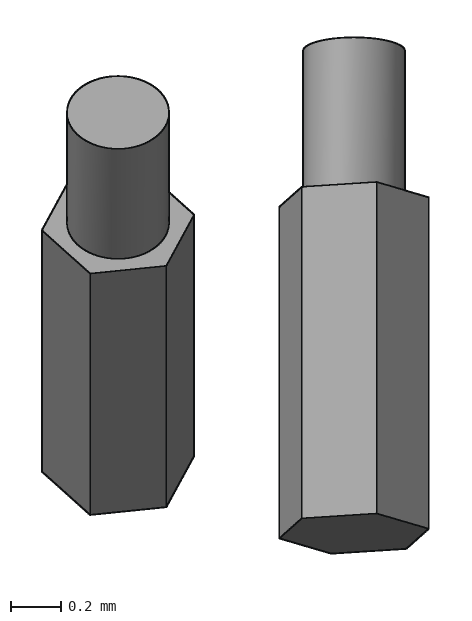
import cadquery as cq

total_height = 2.0
hex_width = 0.62
hex_depth = 0.53
hex_height = 1.375
pin_diameter = 0.408

pin_height = total_height - hex_height
half_width = hex_width / 2
half_depth = hex_depth / 2
half_flat = hex_width / 4

hex_corners = [
    (half_width, 0),
    (half_flat, half_depth),
    (-half_flat, half_depth),
    (-half_width, 0),
    (-half_flat, -half_depth),
    (half_flat, -half_depth),
]
body = cq.Workplane("XY").polyline(hex_corners).close().extrude(hex_height)

result = body.faces(">Z").workplane().circle(pin_diameter / 2).extrude(pin_height)